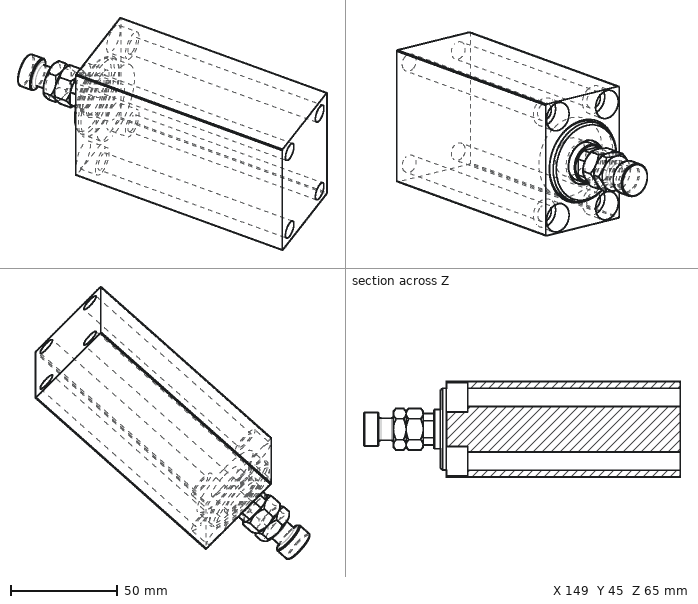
import cadquery as cq
import math


TOTAL_LENGTH = 149.0
HOUSING_WIDTH = 45.0
HOUSING_HEIGHT = 65.0
HOUSING_EDGE_CHAMFER = 0.5

HEAD_LENGTH = 7.0
NECK_LENGTH = 7.0
FRONT_HEX_LENGTH = 6.0
REAR_HEX_LENGTH = 8.0
WRENCH_FLATS_LENGTH = 5.0
ROD_PROTRUSION = 3.0
GLAND_PROTRUSION = 2.8
GLAND_INSERTION = 9.0

HEAD_DIAMETER = 16.0
HEAD_CHAMFER = 0.5
NECK_DIAMETER = 10.6
NECK_FILLET = 1.0
HEX_ACROSS_FLATS = 17.0
HEX_CROWN_LENGTH = 1.2

ROD_DIAMETER = 18.6
ROD_CHAMFER = 0.5
ROD_END_DIAMETER = 16.8
ROD_END_ACROSS_FLATS = 14.9

GLAND_DIAMETER = 38.6
GLAND_CHAMFER = 1.0
WIPER_RECESS_DIAMETER = 21.5
WIPER_RECESS_DEPTH = 2.1

GLAND_BORE_CHAMFER = 0.9
BOLT_SPACING_Y = 30.0
BOLT_SPACING_Z = 49.9
BOLT_HOLE_DIAMETER = 8.5
COUNTERBORE_DIAMETER = 13.7
COUNTERBORE_DEPTH = 10.0

NECK_START = HEAD_LENGTH
FRONT_HEX_START = NECK_START + NECK_LENGTH
REAR_HEX_START = FRONT_HEX_START + FRONT_HEX_LENGTH
ROD_END_START = REAR_HEX_START + REAR_HEX_LENGTH
ROD_START = ROD_END_START + WRENCH_FLATS_LENGTH
GLAND_START = ROD_START + ROD_PROTRUSION
HOUSING_START = GLAND_START + GLAND_PROTRUSION
GLAND_END = HOUSING_START + GLAND_INSERTION


def section_at(x):
    """Workplane across the X axis at the given position."""
    return cq.Workplane("YZ", origin=(x, 0, 0))


def cylinder(diameter, start, end):
    """Cylinder on the X axis between two X positions."""
    return section_at(start).circle(diameter / 2).extrude(end - start)


def crowned_hexagon(start, length):
    """Hexagonal prism with flats facing +Z and -Z and its corners turned off at both ends."""
    corner_diameter = HEX_ACROSS_FLATS / math.cos(math.pi / 6)
    crown_height = (corner_diameter - HEX_ACROSS_FLATS) / 2
    prism = section_at(start).polygon(6, corner_diameter).extrude(length)
    turned_blank = cylinder(corner_diameter, start, start + length)
    turned_blank = turned_blank.edges().chamfer(HEX_CROWN_LENGTH, crown_height)
    return prism.intersect(turned_blank)


def make_coupling():
    """Round head on a filleted neck, followed by two hexagons with a groove between them."""
    head = cylinder(HEAD_DIAMETER, 0, NECK_START).edges().chamfer(HEAD_CHAMFER)
    neck = cylinder(NECK_DIAMETER, NECK_START, FRONT_HEX_START)
    front_hex = crowned_hexagon(FRONT_HEX_START, FRONT_HEX_LENGTH)
    rear_hex = crowned_hexagon(REAR_HEX_START, REAR_HEX_LENGTH)

    coupling = head.union(neck).union(front_hex)
    coupling = coupling.edges(cq.selectors.RadiusNthSelector(0)).fillet(NECK_FILLET)
    return coupling.union(rear_hex)


def make_rod():
    """Round rod whose thinner end carries four wrench flats."""
    rod = cylinder(ROD_DIAMETER, ROD_START, GLAND_END).faces("<X").chamfer(ROD_CHAMFER)
    wrench_square = (
        section_at(ROD_END_START)
        .rect(ROD_END_ACROSS_FLATS, ROD_END_ACROSS_FLATS)
        .extrude(WRENCH_FLATS_LENGTH)
    )
    rod_end = cylinder(ROD_END_DIAMETER, ROD_END_START, ROD_START).intersect(wrench_square)
    return rod.union(rod_end)


def make_gland():
    """Chamfered ring around the rod, with a wiper recess in its outer face."""
    gland = cylinder(GLAND_DIAMETER, GLAND_START, GLAND_END).faces("<X").chamfer(GLAND_CHAMFER)
    rod_bore = cylinder(ROD_DIAMETER, GLAND_START, GLAND_END)
    wiper_recess = cylinder(
        WIPER_RECESS_DIAMETER, GLAND_START, GLAND_START + WIPER_RECESS_DEPTH
    )
    return gland.cut(rod_bore).cut(wiper_recess)


def make_housing():
    """Block with a chamfered gland bore and four counterbored through holes."""
    block = (
        section_at(HOUSING_START)
        .rect(HOUSING_WIDTH, HOUSING_HEIGHT)
        .extrude(TOTAL_LENGTH - HOUSING_START)
        .edges("|X")
        .chamfer(HOUSING_EDGE_CHAMFER)
        .faces("<X")
        .workplane(origin=(HOUSING_START, 0, 0))
        .rect(BOLT_SPACING_Y, BOLT_SPACING_Z, forConstruction=True)
        .vertices()
        .cboreHole(BOLT_HOLE_DIAMETER, COUNTERBORE_DIAMETER, COUNTERBORE_DEPTH)
    )
    gland_bore = cylinder(GLAND_DIAMETER, HOUSING_START, GLAND_END)
    bore_radius = GLAND_DIAMETER / 2
    lead_in = cq.Solid.makeCone(
        bore_radius + GLAND_BORE_CHAMFER,
        bore_radius,
        GLAND_BORE_CHAMFER,
        pnt=cq.Vector(HOUSING_START, 0, 0),
        dir=cq.Vector(1, 0, 0),
    )
    return block.cut(gland_bore).cut(cq.Workplane(lead_in))


housing = make_housing()
gland = make_gland()
rod = make_rod()
coupling = make_coupling()

bodies = [housing, gland, rod, coupling]
result = cq.Compound.makeCompound([body.solids().val() for body in bodies])